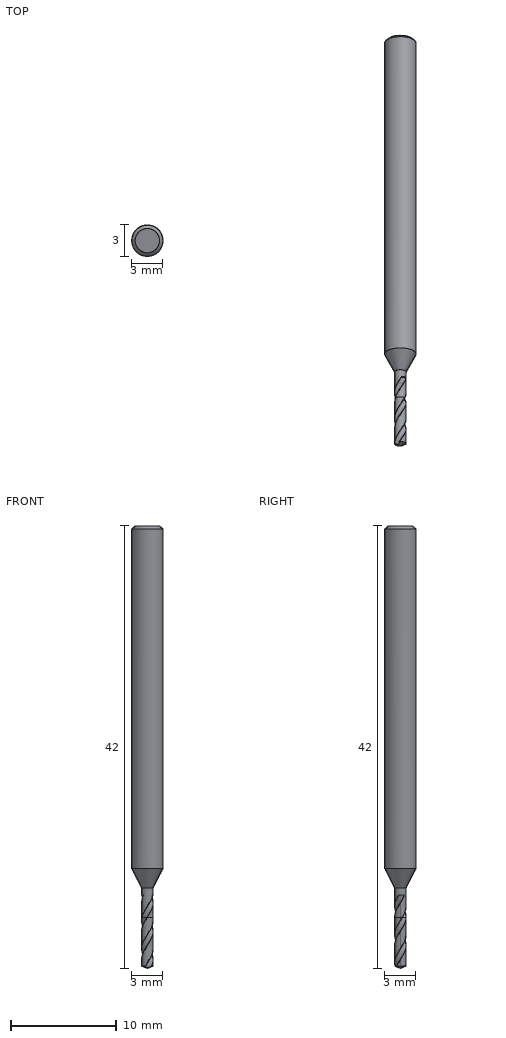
import cadquery as cq
import math

total_length = 42.0
shank_diameter = 3.0
drill_diameter = 1.1

point_height = 0.2
joint_height = 4.85
flute_runout_start = 6.4
flute_end = 6.97
neck_top = 7.65
taper_top = 9.5
shank_chamfer_height = 0.3
shank_chamfer_width = 0.35

flute_count = 2
flute_pitch = 5.38
flute_radius = 0.315
flute_start_angle = -90.0

shank_radius = shank_diameter / 2
drill_radius = drill_diameter / 2


def flute_angle(height, index):
    """Direction of a flute at a height, in degrees."""
    return flute_start_angle + 360 * (height / flute_pitch + index / flute_count)


def flute_section(height, index):
    """Round flute section, centred on the drill's outer surface."""
    angle = math.radians(flute_angle(height, index))
    center = (drill_radius * math.cos(angle), drill_radius * math.sin(angle))
    return cq.Workplane("XY", origin=(0, 0, height)).center(*center).circle(flute_radius)


def helical_flute(index):
    """Twisted part of a flute, from the point to the start of the run-out."""
    section_wire = flute_section(0, index).val()
    twist = 360 * flute_runout_start / flute_pitch
    return cq.Solid.extrudeLinearWithRotation(
        section_wire, [], cq.Vector(0, 0, 0), cq.Vector(0, 0, flute_runout_start), twist
    )


def flute_runout(index):
    """Straight end of a flute, leaving the helix along its tangent."""
    section_wire = flute_section(flute_runout_start, index).val()
    angle = math.radians(flute_angle(flute_runout_start, index))
    rise = flute_end - flute_runout_start
    sideways = rise * math.pi * drill_diameter / flute_pitch
    direction = cq.Vector(-sideways * math.sin(angle), sideways * math.cos(angle), rise)
    return cq.Solid.extrudeLinear(section_wire, [], direction)


def cut_flutes(body):
    """Cut every flute out of a body."""
    for index in range(flute_count):
        body = body.cut(cq.Workplane(helical_flute(index)))
        body = body.cut(cq.Workplane(flute_runout(index)))
    return body


def revolve_profile(points):
    """Turn a closed radius-height outline about the Z axis."""
    return cq.Workplane("XZ").polyline(points).close().revolve(360, (0, 0), (0, 1))


def make_shank():
    """Cylindrical shank, taper and upper part of the fluted neck."""
    blank = revolve_profile([
        (0, joint_height),
        (drill_radius, joint_height),
        (drill_radius, neck_top),
        (shank_radius, taper_top),
        (shank_radius, total_length - shank_chamfer_height),
        (shank_radius - shank_chamfer_width, total_length),
        (0, total_length),
    ])
    return cut_flutes(blank).solids()


def make_cutting_tip():
    """Fluted cutting end with a conical point."""
    blank = revolve_profile([
        (0, 0),
        (drill_radius, point_height),
        (drill_radius, joint_height),
        (0, joint_height),
    ])
    return cut_flutes(blank).solids()


shank = make_shank()
cutting_tip = make_cutting_tip()

result = cq.Compound.makeCompound([shank.val(), cutting_tip.val()])